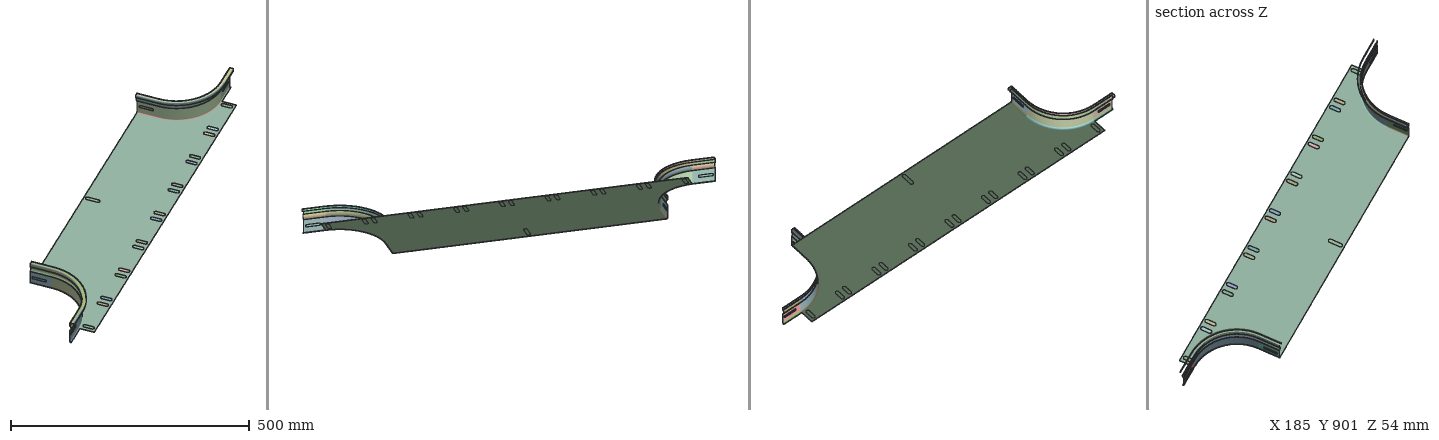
import cadquery as cq

length = 901.0
width = 185.0
height = 54.0
sheet = 1.35

tab_length = 50.0
bend_radius = 99.0
bend_x = -width / 2 + tab_length
plate_end = length / 2 - tab_length
wall_x = bend_x + bend_radius
wall_y = plate_end - bend_radius

fold_radius = 4.0
bead_bottom = 32.0
bead_top = 45.0
bead_depth = 4.5
lip_depth = 10.0
lip_drop = 6.0
lip_radius = 2.0

pad_height = 1.0
plate_pad_width = 8.0
edge_pad_length = 25.0
edge_pad_inset = 17.0
pair_pitch = 100.0
pair_offset = 10.0
pair_reach = 4
long_pad_length = 32.0
long_pad_inset = 21.0
wall_pad_width = 5.0
wall_pad_z = 18.0


def rounded_corner(outline, corner, radius, start, end):
    """Draw an arc to a corner's end point; start and end are unit steps from the corner."""
    x, y = corner
    reach = radius * (1 - 0.5 ** 0.5)
    middle = (x + (start[0] + end[0]) * reach, y + (start[1] + end[1]) * reach)
    return outline.threePointArc(middle, (x + end[0] * radius, y + end[1] * radius))


def wall_section(plane):
    """Bent-sheet section of the wall; local x is d, local y is height."""
    left, right, down, up = (-1, 0), (1, 0), (0, -1), (0, 1)
    bead_middle = (bead_bottom + bead_top) / 2
    inner_lip_radius = lip_radius - sheet
    lip_underside = height - sheet
    lip_inside = lip_depth - sheet
    lip_bottom = height - lip_drop

    outline = cq.Workplane(plane).moveTo(fold_radius, 0)
    outline = rounded_corner(outline, (0, 0), fold_radius, right, up)
    outline = outline.lineTo(0, bead_bottom)
    outline = outline.threePointArc((bead_depth - sheet, bead_middle), (0, bead_top))
    outline = outline.lineTo(0, height - lip_radius)
    outline = rounded_corner(outline, (0, height), lip_radius, down, right)
    outline = outline.lineTo(lip_depth - lip_radius, height)
    outline = rounded_corner(outline, (lip_depth, height), lip_radius, left, down)
    outline = outline.lineTo(lip_depth, lip_bottom)

    outline = outline.lineTo(lip_inside, lip_bottom)
    outline = outline.lineTo(lip_inside, height - lip_radius)
    outline = rounded_corner(outline, (lip_inside, lip_underside), inner_lip_radius, down, left)
    outline = outline.lineTo(lip_radius, lip_underside)
    outline = rounded_corner(outline, (sheet, lip_underside), inner_lip_radius, right, down)
    outline = outline.lineTo(sheet, bead_top)
    outline = outline.threePointArc((bead_depth, bead_middle), (sheet, bead_bottom))
    outline = outline.lineTo(sheet, fold_radius)
    outline = rounded_corner(outline, (sheet, sheet), fold_radius - sheet, up, right)
    return outline.close()


def side_wall():
    """Wall at the +Y end, with a pad on the outer face of each straight run."""
    edge_plane = cq.Plane((bend_x, wall_y, 0), xDir=(0, -1, 0), normal=(-1, 0, 0))
    end_plane = cq.Plane((wall_x, plate_end, 0), xDir=(1, 0, 0), normal=(0, -1, 0))
    edge_run = wall_section(edge_plane).extrude(tab_length)
    end_run = wall_section(end_plane).extrude(-tab_length)
    bend = wall_section(end_plane).revolve(90, (-bend_radius, 0, 0), (-bend_radius, -1, 0))

    edge_pad_centre = (-width / 2 + long_pad_inset, wall_y + pad_height, wall_pad_z)
    end_pad_centre = (wall_x - pad_height, length / 2 - long_pad_inset, wall_pad_z)
    edge_pad = cq.Workplane("XZ", origin=edge_pad_centre).slot2D(long_pad_length, wall_pad_width)
    end_pad = cq.Workplane("YZ", origin=end_pad_centre).slot2D(long_pad_length, wall_pad_width)
    pad_depth = pad_height + sheet
    runs = edge_run.union(bend).union(end_run)
    return runs.union(edge_pad.extrude(pad_depth)).union(end_pad.extrude(pad_depth))


def plate():
    """Flat base, hollowed at two corners along the foot of the walls."""
    foot_radius = bend_radius + fold_radius
    foot_y = plate_end - foot_radius
    foot_x = bend_x + foot_radius
    diagonal = foot_radius * 0.5 ** 0.5
    return (
        cq.Workplane("XY")
        .moveTo(-width / 2, -foot_y)
        .lineTo(bend_x, -foot_y)
        .threePointArc((bend_x + diagonal, diagonal - plate_end), (foot_x, -plate_end))
        .lineTo(width / 2, -plate_end)
        .lineTo(width / 2, plate_end)
        .lineTo(foot_x, plate_end)
        .threePointArc((bend_x + diagonal, plate_end - diagonal), (bend_x, foot_y))
        .lineTo(-width / 2, foot_y)
        .close()
        .extrude(sheet)
    )


def plate_pads():
    """Paired pads along the +X edge and one long pad at the -X edge."""
    pair_middles = [i * pair_pitch for i in range(-pair_reach, pair_reach + 1)]
    pad_ys = [y + side * pair_offset for y in pair_middles for side in (-1, 1)]
    edge_x = width / 2 - edge_pad_inset
    edge_points = [(edge_x, y) for y in pad_ys if abs(y) < plate_end]
    edge_pads = cq.Workplane("XY").pushPoints(edge_points).slot2D(edge_pad_length, plate_pad_width)
    long_x = -width / 2 + long_pad_inset
    long_pad = cq.Workplane("XY").center(long_x, 0).slot2D(long_pad_length, plate_pad_width)
    pad_top = sheet + pad_height
    return edge_pads.extrude(pad_top).union(long_pad.extrude(pad_top))


wall = side_wall()
result = plate().union(plate_pads()).union(wall).union(wall.mirror("XZ"))